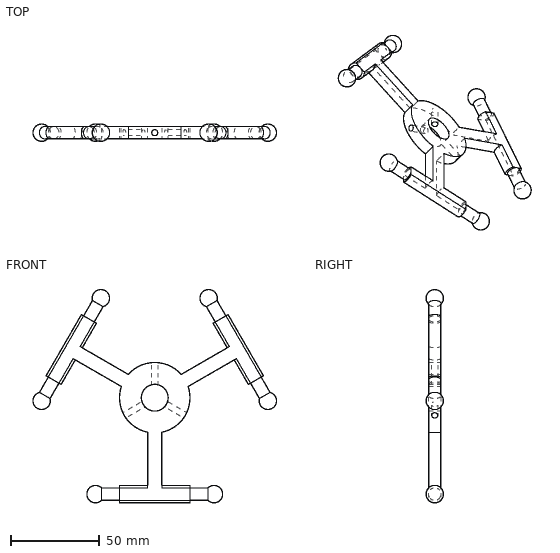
import cadquery as cq
import math

overall_width = 138.0
thickness = 7.0
arm_count = 3
arm_step = 360 / arm_count

hub_diameter = 40.0
bore_diameter = 15.0
set_hole_diameter = 3.5

arm_width = 8.0
sleeve_diameter = 10.0
sleeve_length = 40.0
rod_diameter = thickness
ball_diameter = sleeve_diameter
ball_offset = 33.5

tilt = math.radians(30)
reach = overall_width / 2 - ball_diameter / 2 - ball_offset * math.sin(tilt)
bar_distance = reach / math.cos(tilt)


def spin(body, index):
    """Turn a body about the hub axis to the given arm position."""
    return body.rotate((0, 0, 0), (0, 1, 0), index * arm_step)


def bar_cylinder(diameter, length):
    """Cylinder along X, centred on the lower crossbar axis."""
    return (
        cq.Workplane("YZ", origin=(-length / 2, 0, -bar_distance))
        .circle(diameter / 2)
        .extrude(length)
    )


def make_hub():
    return cq.Workplane("XZ").circle(hub_diameter / 2).extrude(thickness / 2, both=True)


def make_arm():
    """Lower arm: spoke, flattened sleeve, rod and two ball ends."""
    spoke = (
        cq.Workplane("XY")
        .box(arm_width, thickness, bar_distance)
        .translate((0, 0, -bar_distance / 2))
    )
    flat_limits = (
        cq.Workplane("XY")
        .box(sleeve_length, thickness, sleeve_diameter)
        .translate((0, 0, -bar_distance))
    )
    sleeve = bar_cylinder(sleeve_diameter, sleeve_length).intersect(flat_limits)
    rod = bar_cylinder(rod_diameter, 2 * ball_offset)
    arm = spoke.union(sleeve).union(rod)
    for side in (-1, 1):
        ball = cq.Workplane("XY").sphere(ball_diameter / 2)
        arm = arm.union(ball.translate((side * ball_offset, 0, -bar_distance)))
    return arm


def make_set_hole():
    """Radial hole from the bore out through the top of the hub, opposite the lower arm."""
    return cq.Workplane("XY").circle(set_hole_diameter / 2).extrude(hub_diameter)


result = make_hub()
for index in range(arm_count):
    result = result.union(spin(make_arm(), index))

bore = cq.Workplane("XZ").circle(bore_diameter / 2).extrude(thickness, both=True)
result = result.cut(bore)
for index in range(arm_count):
    result = result.cut(spin(make_set_hole(), index))